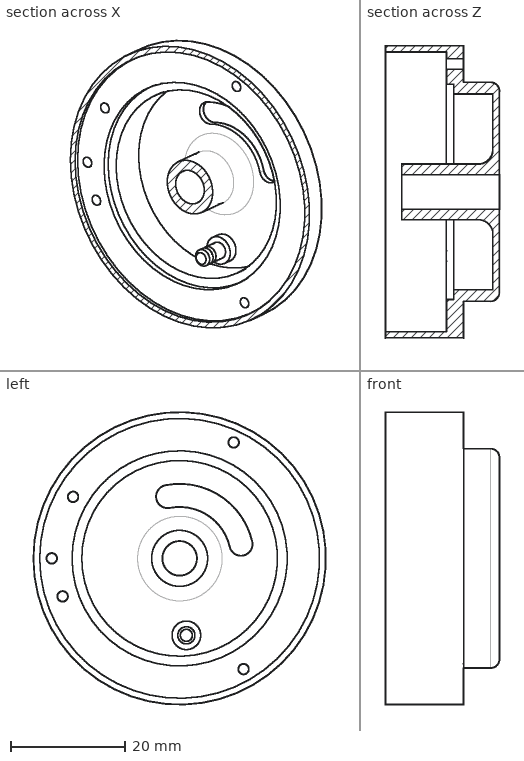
import cadquery as cq
import math


total_length = 19.95
rim_radius = 51.15 / 2
rim_length = 13.65
hub_radius = 19.2
hub_fillet = 1.6

cup_radius = 24.45
cup_depth = 10.65
step_radius = 18.8
step_depth = 1.25
pocket_radius = 17.1
floor_thickness = 1.2
floor_x = total_length - floor_thickness

tube_start = 2.85
tube_radius = 4.9
tube_bore_radius = 3.0
tube_fillet = 2.5

slot_mid_radius = 11.0
slot_width = 4.0
slot_start_angle = 13.0
slot_end_angle = 101.0

pin_orbit_radius = 13.5
pin_angle = -85.0
pin_collar_radius = 2.5
pin_collar_start = 17.0
pin_radius = 1.5
pin_start = 11.7
pin_chamfer = 0.45
pin_groove_x = 13.65
pin_groove_radius = 0.45

small_hole_radius = 0.9
small_hole_places = [
    (22.35, 65.0),
    (21.5, 150.0),
    (22.35, 180.0),
    (21.5, 198.0),
    (22.35, -60.0),
]


def polar(radius, angle):
    """Return (Y, Z) at an angle measured from -Y toward +Z."""
    turn = math.radians(angle)
    return -radius * math.cos(turn), radius * math.sin(turn)


def cylinder(radius, x_start, x_end, center=(0, 0)):
    """Solid cylinder along X with its axis at the (Y, Z) center."""
    plane = cq.Workplane("YZ", origin=(x_start, 0, 0))
    return plane.center(*center).circle(radius).extrude(x_end - x_start)


def make_housing():
    hub = cylinder(hub_radius, 0, total_length).faces(">X").edges().fillet(hub_fillet)
    body = cylinder(rim_radius, 0, rim_length).union(hub)
    step_end = cup_depth + step_depth
    body = body.cut(cylinder(cup_radius, 0, cup_depth))
    body = body.cut(cylinder(step_radius, 0, step_end))
    return body.cut(cylinder(pocket_radius, 0, floor_x))


def make_tube():
    """Tube wall with a concave fillet spreading onto the floor."""
    fillet_start = floor_x - tube_fillet
    arc_reach = tube_fillet * (1 - math.sqrt(0.5))
    profile = (
        cq.Workplane("XY")
        .moveTo(tube_start, 0)
        .lineTo(tube_start, tube_radius)
        .lineTo(fillet_start, tube_radius)
        .threePointArc(
            (floor_x - arc_reach, tube_radius + arc_reach),
            (floor_x, tube_radius + tube_fillet),
        )
        .lineTo(total_length, tube_radius + tube_fillet)
        .lineTo(total_length, 0)
        .close()
    )
    return profile.revolve(360, (0, 0, 0), (1, 0, 0))


def make_pin():
    """Stepped pin with a chamfered tip and a round-bottomed groove."""
    center_y, center_z = polar(pin_orbit_radius, pin_angle)
    profile = (
        cq.Workplane("XY")
        .moveTo(pin_start, 0)
        .lineTo(pin_start, pin_radius - pin_chamfer)
        .lineTo(pin_start + pin_chamfer, pin_radius)
        .lineTo(pin_groove_x - pin_groove_radius, pin_radius)
        .threePointArc(
            (pin_groove_x, pin_radius - pin_groove_radius),
            (pin_groove_x + pin_groove_radius, pin_radius),
        )
        .lineTo(pin_collar_start, pin_radius)
        .lineTo(pin_collar_start, pin_collar_radius)
        .lineTo(total_length, pin_collar_radius)
        .lineTo(total_length, 0)
        .close()
    )
    return profile.revolve(360, (0, 0, 0), (1, 0, 0)).translate((0, center_y, center_z))


def make_slot():
    """Arc-shaped cutter with rounded ends."""
    inner = slot_mid_radius - slot_width / 2
    outer = slot_mid_radius + slot_width / 2
    middle_angle = (slot_start_angle + slot_end_angle) / 2
    end_cap = math.degrees(slot_width / 2 / slot_mid_radius)
    outline = (
        cq.Workplane("YZ", origin=(floor_x, 0, 0))
        .moveTo(*polar(outer, slot_start_angle))
        .threePointArc(polar(outer, middle_angle), polar(outer, slot_end_angle))
        .threePointArc(polar(slot_mid_radius, slot_end_angle + end_cap), polar(inner, slot_end_angle))
        .threePointArc(polar(inner, middle_angle), polar(inner, slot_start_angle))
        .threePointArc(polar(slot_mid_radius, slot_start_angle - end_cap), polar(outer, slot_start_angle))
        .close()
    )
    return outline.extrude(floor_thickness)


result = make_housing().union(make_tube()).union(make_pin())
result = result.cut(cylinder(tube_bore_radius, 0, total_length))
result = result.cut(make_slot())
for hole_distance, hole_angle in small_hole_places:
    hole_center = polar(hole_distance, hole_angle)
    result = result.cut(cylinder(small_hole_radius, 0, rim_length, hole_center))